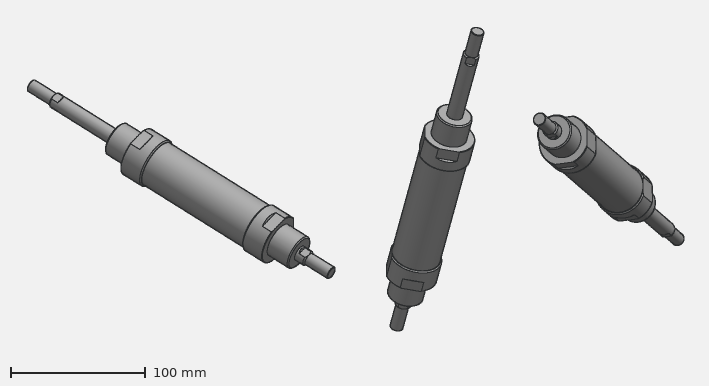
import cadquery as cq

total_length = 283.0
half_length = total_length / 2

rod_diameter = 12.2
thread_diameter = 10.0
thread_length = 21.2
shoulder_length = 1.0
tip_chamfer = 0.42
rod_flat_end = 27.7
rod_flat_gap = thread_diameter

boss_diameter = 27.2
boss_length = 19.8
boss_chamfer = 1.0
flange_diameter = 39.5
flange_length = 19.0
flange_face_chamfer = 0.42
flange_barrel_chamfer = 1.0
cap_flat_length = 8.8
cap_flat_gap = 36.2
side_flat_offset = 18.5

flat_runout = 1.0

barrel_diameter = 2 * side_flat_offset
barrel_length = 95.5
barrel_middle = 25.0


def x_cylinder(diameter, start, length):
    """Solid cylinder along +X that begins at x = start."""
    return cq.Workplane("YZ", origin=(start, 0, 0)).circle(diameter / 2).extrude(length)


def cut_wrench_flats(body, start, end, gap, diameter):
    """Cut an upper and a lower flat, a given gap apart, into a round of the given diameter."""
    floor = gap / 2
    rim = diameter / 2
    slope = flat_runout / (rim - floor)
    top = diameter
    upper = (
        cq.Workplane("XZ")
        .polyline([(start, floor), (end, floor), (end + slope * (top - floor), top), (start, top)])
        .close()
        .extrude(rim, both=True)
    )
    return body.cut(upper).cut(upper.mirror("XY"))


def make_rod(length):
    """Rod with its threaded tip at x = 0, running along +X."""
    thread_radius = thread_diameter / 2
    rod_radius = rod_diameter / 2
    rod = (
        cq.Workplane("XY")
        .polyline([
            (0, 0),
            (0, thread_radius - tip_chamfer),
            (tip_chamfer, thread_radius),
            (thread_length, thread_radius),
            (thread_length + shoulder_length, rod_radius),
            (length, rod_radius),
            (length, 0),
        ])
        .close()
        .revolve(360, (0, 0, 0), (1, 0, 0))
    )
    return cut_wrench_flats(rod, thread_length, rod_flat_end, rod_flat_gap, rod_diameter)


def make_flange():
    """Flange that begins at the end of the boss and meets the barrel."""
    flange = x_cylinder(flange_diameter, boss_length, flange_length)
    flange = flange.faces("<X").chamfer(flange_face_chamfer)
    flange = flange.faces(">X").chamfer(flange_barrel_chamfer)
    flat_end = boss_length + cap_flat_length
    flange = cut_wrench_flats(flange, boss_length, flat_end, cap_flat_gap, flange_diameter)
    side_block = (
        cq.Workplane("XY", origin=(boss_length, side_flat_offset, 0))
        .box(flange_length, flange_diameter, flange_diameter, centered=(False, False, True))
    )
    return flange.cut(side_block)


def make_cap():
    """Cap with its boss face at x = 0, bored through for the rod."""
    boss = x_cylinder(boss_diameter, 0, boss_length).faces("<X").chamfer(boss_chamfer)
    bore = x_cylinder(rod_diameter, 0, boss_length + flange_length)
    return boss.union(make_flange()).cut(bore)


def make_barrel():
    """Round barrel between the caps, bored through for the rods."""
    start = barrel_middle - barrel_length / 2
    bore = x_cylinder(rod_diameter, start, barrel_length)
    return x_cylinder(barrel_diameter, start, barrel_length).cut(bore)


barrel = make_barrel()

left_rod = make_rod(half_length + barrel_middle).translate((-half_length, 0, 0))
right_rod = make_rod(half_length - barrel_middle).mirror("YZ").translate((half_length, 0, 0))

cap_reach = barrel_length / 2 + flange_length + boss_length
left_cap = make_cap().translate((barrel_middle - cap_reach, 0, 0))
right_cap = make_cap().mirror("YZ").translate((barrel_middle + cap_reach, 0, 0))

result = cq.Compound.makeCompound([
    barrel.val(),
    left_cap.val(),
    right_cap.val(),
    left_rod.val(),
    right_rod.val(),
])